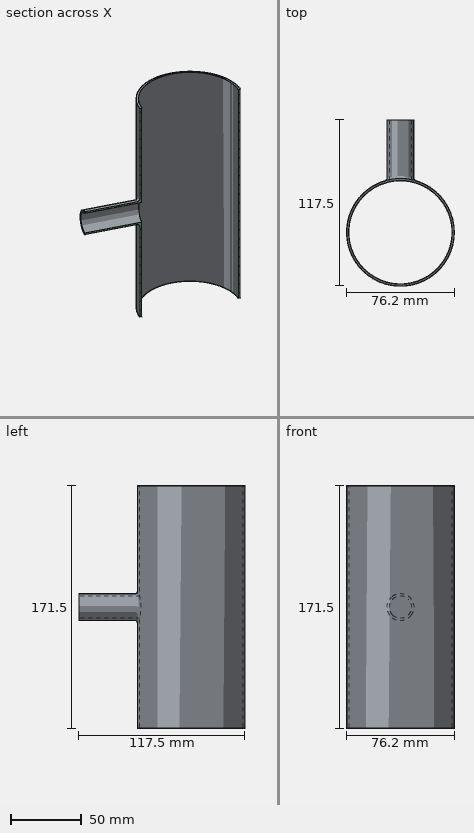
import cadquery as cq

run_diameter = 76.2
run_length = 171.45
wall = 1.65
branch_diameter = 19.05
branch_reach = 79.4
weld_fillet = 1.6

run_radius = run_diameter / 2
run_bore_radius = run_radius - wall
branch_radius = branch_diameter / 2
branch_bore_radius = branch_radius - wall


def run_cylinder(radius):
    """Cylinder along Z over the whole run, centred on the origin."""
    return cq.Workplane("XY").circle(radius).extrude(run_length / 2, both=True)


def branch_cylinder(radius):
    """Cylinder from the run axis along +Y to the open end of the branch."""
    return cq.Workplane("XZ").circle(radius).extrude(-branch_reach)


def blended_body():
    """Solid run and branch, with the joint between them filleted."""
    body = run_cylinder(run_radius).union(branch_cylinder(branch_radius))
    joint_zone = cq.selectors.BoxSelector(
        (-branch_diameter, 0, -branch_diameter),
        (branch_diameter, run_radius + wall, branch_diameter),
    )
    joint = body.edges(joint_zone).edges("not %LINE")
    return joint.fillet(weld_fillet)


result = blended_body().cut(run_cylinder(run_bore_radius)).cut(branch_cylinder(branch_bore_radius))